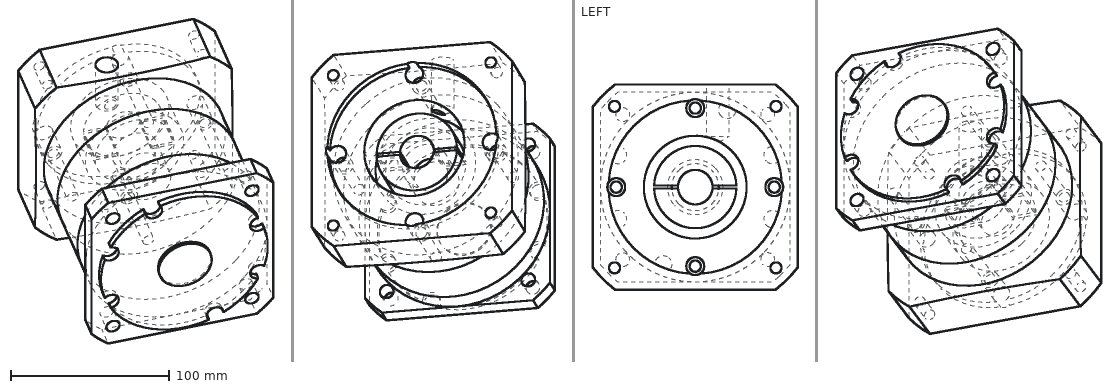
import cadquery as cq
import math


BODY_DIAMETER = 120.1
DRILL_TIP_ANGLE = 118.0

MOTOR_FLANGE_SIDE = 130.0
MOTOR_CORNER_DIAMETER = 164.9
FLANGE_RIM_X = 37.2
FLANGE_BACK_X = 39.8
ADAPTER_END_X = 70.0
PILOT_DIAMETER = 109.7
PILOT_DEPTH = 7.1
HUB_BORE_DIAMETER = 65.0
MOTOR_HOLE_DIAMETER = 7.0
MOTOR_HOLE_OFFSET = 51.0
MOTOR_HOLE_DEPTH = 18.2
SCREW_CIRCLE_DIAMETER = 100.0
SCREW_HOLE_DIAMETER = 7.1
SCREW_HEAD_DIAMETER = 11.4
SCREW_HEAD_DEPTH = 27.4
ACCESS_HOLE_DIAMETER = 14.3
ACCESS_HOLE_X = 25.8
ACCESS_HOLE_Y = -14.1
ACCESS_TIP_Z = 27.8

COLLAR_FACE_X = 14.1
COLLAR_DIAMETER = 52.1
NECK_DIAMETER = 29.8
SHAFT_BORE_DIAMETER = 21.9
SHAFT_BORE_END_X = 54.7
SLIT_WIDTH = 2.0

RING_END_X = 114.5

OUTPUT_FLANGE_X = 131.6
OUTPUT_FLANGE_END_X = 145.6
OUTPUT_FLANGE_SIDE = BODY_DIAMETER
OUTPUT_CORNER_DIAMETER = 155.0
OUTPUT_HOLE_DIAMETER = 8.8
OUTPUT_HOLE_OFFSET = 45.9
BOSS_DIAMETER = 110.2
BOSS_END_X = 150.0
SHAFT_STUB_DIAMETER = 35.0
OVERALL_LENGTH = 152.0
SCALLOP_DIAMETER = 11.0
SCALLOP_CIRCLE_DIAMETER = 105.8
SCALLOP_SPACING = 45.0
SCALLOP_POSITIONS = (0, 2, 3, 4, 6, 7)


def cylinder_x(diameter, start_x, end_x, centres=((0, 0),)):
    """Cylinders along X from start_x to end_x at the given (Y, Z) centres."""
    plane = cq.Workplane("YZ").workplane(offset=start_x)
    return plane.pushPoints(centres).circle(diameter / 2).extrude(end_x - start_x)


def square_block(side, start_x, end_x):
    """Square block centred on the axis."""
    return cq.Workplane("YZ").workplane(offset=start_x).rect(side, side).extrude(end_x - start_x)


def corner_points(offset):
    """Four (Y, Z) points at the corners of a square."""
    return [(y, z) for y in (-offset, offset) for z in (-offset, offset)]


def circle_point(diameter, angle):
    """(Y, Z) point on a circle about the axis, at an angle in degrees from +Y."""
    radians = math.radians(angle)
    return (diameter / 2 * math.cos(radians), diameter / 2 * math.sin(radians))


def drill_tip_length(diameter):
    return diameter / 2 / math.tan(math.radians(DRILL_TIP_ANGLE / 2))


def drill(diameter, depth):
    """Drill along +X from the origin: a cylinder of the given depth and a conical tip beyond it."""
    tip_x = depth + drill_tip_length(diameter)
    outline = [(0, 0), (0, diameter / 2), (depth, diameter / 2), (tip_x, 0)]
    return cq.Workplane("XY").polyline(outline).close().revolve(360, (0, 0, 0), (1, 0, 0))


def motor_flange():
    """Square flange with corners rounded about the axis and a slightly conical back."""
    outline = [
        (0, 0),
        (0, MOTOR_CORNER_DIAMETER / 2),
        (FLANGE_RIM_X, MOTOR_CORNER_DIAMETER / 2),
        (FLANGE_BACK_X, BODY_DIAMETER / 2),
        (FLANGE_BACK_X, 0),
    ]
    turned = cq.Workplane("XY").polyline(outline).close().revolve(360, (0, 0, 0), (1, 0, 0))
    return turned.intersect(square_block(MOTOR_FLANGE_SIDE, 0, FLANGE_BACK_X))


def access_hole():
    """Drill from the top of the flange; its tip breaks through into the hub bore."""
    top_z = MOTOR_FLANGE_SIDE / 2
    straight_depth = top_z - ACCESS_TIP_Z - drill_tip_length(ACCESS_HOLE_DIAMETER)
    tool = drill(ACCESS_HOLE_DIAMETER, straight_depth).rotate((0, 0, 0), (0, 1, 0), 90)
    return tool.translate((ACCESS_HOLE_X, ACCESS_HOLE_Y, top_z))


def make_motor_adapter():
    adapter = motor_flange().union(cylinder_x(BODY_DIAMETER, 0, ADAPTER_END_X))

    adapter = adapter.cut(cylinder_x(PILOT_DIAMETER, 0, PILOT_DEPTH))
    adapter = adapter.cut(cylinder_x(HUB_BORE_DIAMETER, 0, FLANGE_BACK_X))
    adapter = adapter.cut(cylinder_x(NECK_DIAMETER, 0, ADAPTER_END_X))

    motor_drill = drill(MOTOR_HOLE_DIAMETER, MOTOR_HOLE_DEPTH)
    for y, z in corner_points(MOTOR_HOLE_OFFSET):
        adapter = adapter.cut(motor_drill.translate((0, y, z)))

    screws = [circle_point(SCREW_CIRCLE_DIAMETER, angle) for angle in (0, 90, 180, 270)]
    adapter = adapter.cut(cylinder_x(SCREW_HEAD_DIAMETER, 0, SCREW_HEAD_DEPTH, screws))
    adapter = adapter.cut(cylinder_x(SCREW_HOLE_DIAMETER, 0, ADAPTER_END_X, screws))

    return adapter.cut(access_hole())


def make_clamp_hub():
    """Slit collar that clamps the motor shaft, on a neck seated in the adapter."""
    collar = cylinder_x(COLLAR_DIAMETER, COLLAR_FACE_X, FLANGE_BACK_X)
    slit = (
        cq.Workplane("YZ")
        .workplane(offset=COLLAR_FACE_X)
        .rect(COLLAR_DIAMETER, SLIT_WIDTH)
        .extrude(FLANGE_BACK_X - COLLAR_FACE_X)
    )
    neck = cylinder_x(NECK_DIAMETER, FLANGE_BACK_X, ADAPTER_END_X)
    shaft_bore = cylinder_x(SHAFT_BORE_DIAMETER, COLLAR_FACE_X, SHAFT_BORE_END_X)
    return collar.cut(slit).union(neck).cut(shaft_bore)


def make_ring_housing():
    return cylinder_x(BODY_DIAMETER, ADAPTER_END_X, RING_END_X)


def make_output_housing():
    flange = square_block(OUTPUT_FLANGE_SIDE, OUTPUT_FLANGE_X, OUTPUT_FLANGE_END_X)
    flange = flange.intersect(cylinder_x(OUTPUT_CORNER_DIAMETER, OUTPUT_FLANGE_X, OUTPUT_FLANGE_END_X))
    holes = corner_points(OUTPUT_HOLE_OFFSET)
    flange_holes = cylinder_x(OUTPUT_HOLE_DIAMETER, OUTPUT_FLANGE_X, OUTPUT_FLANGE_END_X, holes)

    boss = cylinder_x(BOSS_DIAMETER, OUTPUT_FLANGE_END_X, BOSS_END_X)
    scallops = [
        circle_point(SCALLOP_CIRCLE_DIAMETER, SCALLOP_SPACING * (position + 0.5))
        for position in SCALLOP_POSITIONS
    ]
    boss = boss.cut(cylinder_x(SCALLOP_DIAMETER, OUTPUT_FLANGE_END_X, BOSS_END_X, scallops))

    barrel = cylinder_x(BODY_DIAMETER, RING_END_X, OUTPUT_FLANGE_X)
    stub = cylinder_x(SHAFT_STUB_DIAMETER, BOSS_END_X, OVERALL_LENGTH)
    return barrel.union(flange.cut(flange_holes)).union(boss).union(stub)


motor_adapter = make_motor_adapter()
clamp_hub = make_clamp_hub()
ring_housing = make_ring_housing()
output_housing = make_output_housing()

result = cq.Compound.makeCompound([
    motor_adapter.solids().val(),
    clamp_hub.solids().val(),
    ring_housing.solids().val(),
    output_housing.solids().val(),
])